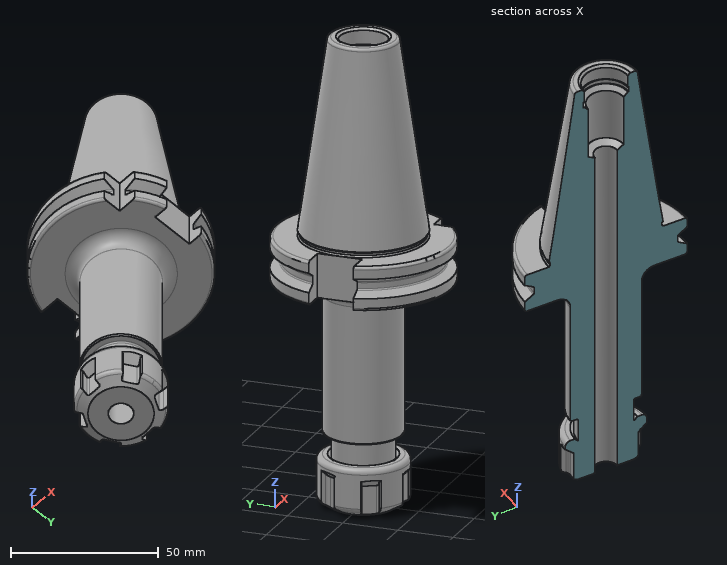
import cadquery as cq
import math


GAUGE_RADIUS = 44.45 / 2
TAPER_LENGTH = 68.4
TAPER_RATIO = 7 / 24
TAPER_END_RADIUS = GAUGE_RADIUS - TAPER_LENGTH * TAPER_RATIO / 2
TAPER_END_FILLET = 1.2

RELIEF_START_Z = -1.2
RELIEF_DEPTH = 0.6
TAPER_BASE_RADIUS = GAUGE_RADIUS - RELIEF_START_Z * TAPER_RATIO / 2
RELIEF_RADIUS = TAPER_BASE_RADIUS - RELIEF_DEPTH

FLANGE_RADIUS = 63.55 / 2
FLANGE_TOP_Z = -3.2
FLANGE_BOTTOM_Z = -19.1
FLANGE_EDGE_FILLET = 1.0
V_CENTER_Z = -11.1
V_RIM_WIDTH = 7.0
V_BASE_RADIUS = 28.15
V_FLANK_ANGLE = 30
V_BASE_WIDTH = V_RIM_WIDTH - 2 * (FLANGE_RADIUS - V_BASE_RADIUS) * math.tan(math.radians(V_FLANK_ANGLE))
V_BASE_FILLET = 0.6

DRIVE_SLOT_WIDTH = 16.1
DRIVE_SLOT_FLOOR_LEFT = 22.6
DRIVE_SLOT_FLOOR_RIGHT = 25.0
NOTCH_OFFSET = 18.5

SHANK_RADIUS = 14.0
SHANK_END_Z = -73.8
SHANK_TOP_FILLET = 5.0
SHANK_END_CHAMFER = 0.5
NECK_RADIUS = 11.0
NECK_CORNER_FILLET = 0.5

NUT_RADIUS = 16.0
NUT_TOP_Z = -81.8
NUT_END_Z = -100.0
NUT_TOP_FILLET = 2.0
NUT_END_RADIUS = 11.2
NUT_END_ANGLE = 30
NUT_CONE_HEIGHT = (NUT_RADIUS - NUT_END_RADIUS) * math.tan(math.radians(NUT_END_ANGLE))
NUT_END_FILLET = 2.0
NUT_MOUTH_RADIUS = 12.2

WRENCH_SLOT_COUNT = 6
FIRST_SLOT_ANGLE = 30
WRENCH_SLOT_FLOOR = 12.6
WRENCH_SLOT_RUNOUT = 3.0
PLAIN_SLOT_WIDTH = 7.0
PLAIN_SLOT_FILLET = 1.2
PLAIN_SLOT_TOP_Z = -85.0
CHAMFERED_SLOT_WIDTH = 6.0
CHAMFERED_SLOT_FILLET = 0.6
CHAMFERED_SLOT_TOP_Z = -86.0
SLOT_CHAMFER = 0.5

MOUTH_RADIUS = 9.4
BORE_RADIUS = 8.5
UNDERCUT_TOP_DEPTH = 6.0
UNDERCUT_RADIUS = 8.8
BORE_DEPTH = 7.9
SEAT_RADIUS = 6.85
SEAT_DEPTH = BORE_DEPTH + BORE_RADIUS - SEAT_RADIUS
SEAT_BORE_DEPTH = 30.0
DRILL_POINT_ANGLE = 118
THROUGH_RADIUS = 4.3
DRILL_POINT_HEIGHT = (SEAT_RADIUS - THROUGH_RADIUS) / math.tan(math.radians(DRILL_POINT_ANGLE / 2))
THROUGH_DEPTH = SEAT_BORE_DEPTH + DRILL_POINT_HEIGHT

CUT_MARGIN = 5.0


def revolve(profile):
    """Turn an (r, z) profile around the Z axis."""
    return profile.close().revolve(360, (0, 0, 0), (0, 1, 0))


def make_taper():
    """Taper with a rounded small end, running down to the relief groove and the flange."""
    taper = revolve(
        cq.Workplane("XZ")
        .moveTo(0, TAPER_LENGTH)
        .lineTo(TAPER_END_RADIUS, TAPER_LENGTH)
        .lineTo(TAPER_BASE_RADIUS, RELIEF_START_Z)
        .lineTo(RELIEF_RADIUS, RELIEF_START_Z - RELIEF_DEPTH)
        .lineTo(RELIEF_RADIUS, FLANGE_TOP_Z + RELIEF_DEPTH)
        .lineTo(TAPER_BASE_RADIUS, FLANGE_TOP_Z)
        .lineTo(0, FLANGE_TOP_Z)
    )
    return taper.faces(">Z").edges().fillet(TAPER_END_FILLET)


def make_flange():
    """Flange disc with rounded rims, V groove, two drive slots and one corner notch."""
    height = FLANGE_TOP_Z - FLANGE_BOTTOM_Z
    disc = (
        cq.Workplane("XY", origin=(0, 0, FLANGE_BOTTOM_Z))
        .circle(FLANGE_RADIUS)
        .extrude(height)
        .edges()
        .fillet(FLANGE_EDGE_FILLET)
    )
    groove = revolve(
        cq.Workplane("XZ")
        .moveTo(FLANGE_RADIUS + CUT_MARGIN, V_CENTER_Z + V_RIM_WIDTH / 2)
        .lineTo(FLANGE_RADIUS, V_CENTER_Z + V_RIM_WIDTH / 2)
        .lineTo(V_BASE_RADIUS, V_CENTER_Z + V_BASE_WIDTH / 2)
        .lineTo(V_BASE_RADIUS, V_CENTER_Z - V_BASE_WIDTH / 2)
        .lineTo(FLANGE_RADIUS, V_CENTER_Z - V_RIM_WIDTH / 2)
        .lineTo(FLANGE_RADIUS + CUT_MARGIN, V_CENTER_Z - V_RIM_WIDTH / 2)
    )
    base_edges = cq.selectors.RadiusNthSelector(0)
    groove = groove.edges("%CIRCLE").edges(base_edges).fillet(V_BASE_FILLET)

    middle_z = (FLANGE_TOP_Z + FLANGE_BOTTOM_Z) / 2
    reach = FLANGE_RADIUS + CUT_MARGIN

    def flange_cut(x_range, y_range):
        (x_min, x_max), (y_min, y_max) = x_range, y_range
        center = ((x_min + x_max) / 2, (y_min + y_max) / 2, middle_z)
        return cq.Workplane("XY", origin=center).box(x_max - x_min, y_max - y_min, height)

    half_slot = DRIVE_SLOT_WIDTH / 2
    left_slot = flange_cut((-reach, -DRIVE_SLOT_FLOOR_LEFT), (-half_slot, half_slot))
    right_slot = flange_cut((DRIVE_SLOT_FLOOR_RIGHT, reach), (-half_slot, half_slot))
    notch = flange_cut((NOTCH_OFFSET, reach), (-reach, -NOTCH_OFFSET))
    return disc.cut(groove).cut(left_slot).cut(right_slot).cut(notch)


def make_shank():
    """Shank blending into the flange, and the neck that carries the nut."""
    blend_middle = SHANK_TOP_FILLET * (1 - math.sqrt(0.5))
    return revolve(
        cq.Workplane("XZ")
        .moveTo(0, FLANGE_BOTTOM_Z)
        .lineTo(SHANK_RADIUS + SHANK_TOP_FILLET, FLANGE_BOTTOM_Z)
        .threePointArc(
            (SHANK_RADIUS + blend_middle, FLANGE_BOTTOM_Z - blend_middle),
            (SHANK_RADIUS, FLANGE_BOTTOM_Z - SHANK_TOP_FILLET),
        )
        .lineTo(SHANK_RADIUS, SHANK_END_Z + SHANK_END_CHAMFER)
        .lineTo(SHANK_RADIUS - SHANK_END_CHAMFER, SHANK_END_Z)
        .lineTo(NECK_RADIUS + NECK_CORNER_FILLET, SHANK_END_Z)
        .radiusArc((NECK_RADIUS, SHANK_END_Z - NECK_CORNER_FILLET), -NECK_CORNER_FILLET)
        .lineTo(NECK_RADIUS, NUT_END_Z)
        .lineTo(0, NUT_END_Z)
    )


def make_nut():
    """Collet nut with rounded top, conical end and wrench slots around its side."""
    nut = revolve(
        cq.Workplane("XZ")
        .moveTo(0, NUT_TOP_Z)
        .lineTo(NUT_RADIUS, NUT_TOP_Z)
        .lineTo(NUT_RADIUS, NUT_END_Z + NUT_CONE_HEIGHT)
        .lineTo(NUT_END_RADIUS, NUT_END_Z)
        .lineTo(0, NUT_END_Z)
    )
    rim_edges = cq.selectors.RadiusNthSelector(-1)
    nut = nut.edges("%CIRCLE").edges(rim_edges).edges("<Z").fillet(NUT_END_FILLET)
    nut = nut.faces(">Z").edges().fillet(NUT_TOP_FILLET)

    mouth_depth = NUT_MOUTH_RADIUS - NECK_RADIUS
    mouth = revolve(
        cq.Workplane("XZ")
        .moveTo(0, NUT_TOP_Z)
        .lineTo(NUT_MOUTH_RADIUS, NUT_TOP_Z)
        .lineTo(NECK_RADIUS, NUT_TOP_Z - mouth_depth)
        .lineTo(0, NUT_TOP_Z - mouth_depth)
    )
    nut = nut.cut(mouth)

    plain_slot = make_wrench_slot(PLAIN_SLOT_WIDTH, PLAIN_SLOT_FILLET, PLAIN_SLOT_TOP_Z)
    chamfered_slot = make_wrench_slot(CHAMFERED_SLOT_WIDTH, CHAMFERED_SLOT_FILLET, CHAMFERED_SLOT_TOP_Z)
    chamfered_slot = chamfered_slot.union(make_slot_chamfer())
    for index in range(WRENCH_SLOT_COUNT):
        angle = FIRST_SLOT_ANGLE + index * 360 / WRENCH_SLOT_COUNT
        on_plus_y_half = angle < 180
        slot = plain_slot if on_plus_y_half else chamfered_slot
        nut = nut.cut(slot.rotate((0, 0, 0), (0, 0, 1), angle))
    return nut


def make_slot_side(inner_x, top_z, width):
    """Block on the +X side, open downward, whose upper end slopes up and outward from inner_x."""
    slope = WRENCH_SLOT_RUNOUT / (NUT_RADIUS - WRENCH_SLOT_FLOOR)
    outer_x = NUT_RADIUS + CUT_MARGIN
    bottom_z = NUT_END_Z - CUT_MARGIN
    return (
        cq.Workplane("XZ", origin=(0, width / 2, 0))
        .moveTo(inner_x, bottom_z)
        .lineTo(outer_x, bottom_z)
        .lineTo(outer_x, top_z + slope * (outer_x - NUT_RADIUS))
        .lineTo(inner_x, top_z - slope * (NUT_RADIUS - inner_x))
        .close()
        .extrude(width)
    )


def make_wrench_slot(width, floor_fillet, top_z):
    """Cutting body of one wrench slot with rounded floor corners."""
    slot = make_slot_side(WRENCH_SLOT_FLOOR, top_z, width)
    return slot.edges("|Z and <X").fillet(floor_fillet)


def make_slot_chamfer():
    """Cutting body that breaks the outer edges of a chamfered wrench slot at 45 degrees."""
    half_mouth = CHAMFERED_SLOT_WIDTH / 2 + SLOT_CHAMFER
    mouth_x = math.sqrt(NUT_RADIUS**2 - half_mouth**2)
    inner_x = mouth_x - SLOT_CHAMFER
    outer_x = NUT_RADIUS + CUT_MARGIN
    block = make_slot_side(inner_x, CHAMFERED_SLOT_TOP_Z, 2 * half_mouth)
    flare = (
        cq.Workplane("XY", origin=(0, 0, NUT_END_Z - CUT_MARGIN))
        .moveTo(inner_x, -CHAMFERED_SLOT_WIDTH / 2)
        .lineTo(mouth_x, -half_mouth)
        .lineTo(outer_x, -half_mouth)
        .lineTo(outer_x, half_mouth)
        .lineTo(mouth_x, half_mouth)
        .lineTo(inner_x, CHAMFERED_SLOT_WIDTH / 2)
        .close()
        .extrude(NUT_TOP_Z - NUT_END_Z + CUT_MARGIN)
    )
    return block.intersect(flare)


def make_bore():
    """Cutting body of the stepped bore, which runs through the whole part."""
    mouth_chamfer = MOUTH_RADIUS - BORE_RADIUS
    return revolve(
        cq.Workplane("XZ")
        .moveTo(0, TAPER_LENGTH)
        .lineTo(MOUTH_RADIUS, TAPER_LENGTH)
        .lineTo(BORE_RADIUS, TAPER_LENGTH - mouth_chamfer)
        .lineTo(BORE_RADIUS, TAPER_LENGTH - UNDERCUT_TOP_DEPTH)
        .lineTo(UNDERCUT_RADIUS, TAPER_LENGTH - UNDERCUT_TOP_DEPTH)
        .lineTo(UNDERCUT_RADIUS, TAPER_LENGTH - BORE_DEPTH)
        .lineTo(BORE_RADIUS, TAPER_LENGTH - BORE_DEPTH)
        .lineTo(SEAT_RADIUS, TAPER_LENGTH - SEAT_DEPTH)
        .lineTo(SEAT_RADIUS, TAPER_LENGTH - SEAT_BORE_DEPTH)
        .lineTo(THROUGH_RADIUS, TAPER_LENGTH - THROUGH_DEPTH)
        .lineTo(THROUGH_RADIUS, NUT_END_Z)
        .lineTo(0, NUT_END_Z)
    )


shank_and_nut = make_shank().union(make_nut())
result = make_taper().union(make_flange()).union(shank_and_nut).cut(make_bore())